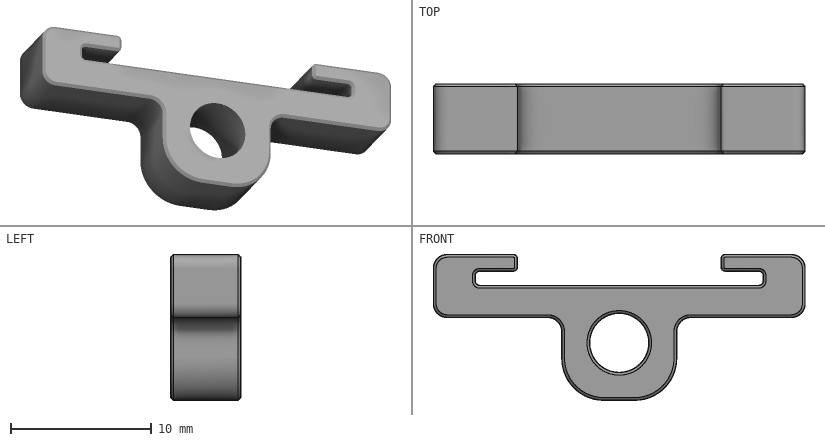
import cadquery as cq

length = 26.5
depth = 5.0
height = 10.4

bar_height = 4.5
lip_length = 6.0
lip_thickness = 1.2
channel_gap = 1.0
end_wall = 3.0

lug_width = 8.2
hole_diameter = 4.2
hole_height = 4.1

bar_corner_radius = 1.0
lug_blend_radius = 1.0
lug_corner_radius = 3.0
lip_radius = 0.3
channel_radius = 0.3
edge_bevel = 0.2

tolerance = 0.01


def centred_box(width, top, bottom):
    """Full-depth block centred on X and Y between two Z levels."""
    return (
        cq.Workplane("XY")
        .workplane(offset=bottom)
        .rect(width, depth)
        .extrude(top - bottom)
    )


def make_bar():
    return centred_box(length, 0, -bar_height).edges("|Y").fillet(bar_corner_radius)


def make_lug():
    """Lug with rounded lower corners, rooted inside the bar."""
    root = -(bar_height + lip_thickness + channel_gap) / 2
    lug = centred_box(lug_width, root, -height)
    return lug.faces("<Z").edges("|Y").fillet(lug_corner_radius)


def make_channel():
    """Undercut channel with rounded ends and its narrower opening at the top."""
    floor = -(lip_thickness + channel_gap)
    undercut = centred_box(length - 2 * end_wall, -lip_thickness, floor)
    undercut = undercut.edges("|Y").fillet(channel_radius)
    opening = centred_box(length - 2 * lip_length, 0, floor)
    return undercut.union(opening)


def edges_along_y(body, half_width, levels):
    """Select the mirrored pairs of depthwise edges at the given Z levels."""
    places = [(side * half_width, level) for side in (-1, 1) for level in levels]

    def is_wanted(edge):
        centre = edge.Center()
        return any(
            abs(centre.x - x) < tolerance and abs(centre.z - z) < tolerance
            for x, z in places
        )

    return body.newObject([edge for edge in body.edges("|Y").vals() if is_wanted(edge)])


def make_hole():
    """Through hole whose mouth is bevelled on the -Y face only."""
    radius = hole_diameter / 2
    front_face = cq.Workplane("XZ", origin=(0, -depth / 2, hole_height - height))
    bore = front_face.circle(radius).extrude(-depth)
    mouth = (
        front_face.circle(radius + edge_bevel)
        .workplane(offset=-edge_bevel)
        .circle(radius)
        .loft()
    )
    return bore.union(mouth)


body = make_bar().union(make_lug()).cut(make_channel())
body = edges_along_y(body, lug_width / 2, [-bar_height]).fillet(lug_blend_radius)
body = edges_along_y(body, length / 2 - lip_length, [0, -lip_thickness]).fillet(lip_radius)
body = body.faces("<Y or >Y").chamfer(edge_bevel)

result = body.cut(make_hole())